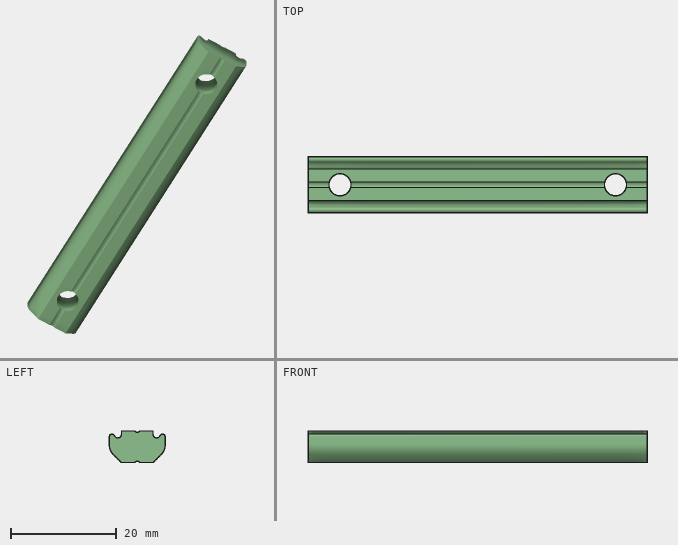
import cadquery as cq
import math

LENGTH = 64.0
WIDTH = 10.6
HEIGHT = 6.0

FLAT_WIDTH = 6.0

LIP_HEIGHT = 5.41
LIP_RADIUS = 0.53
SIDE_GROOVE_RADIUS = 0.67

SLOPE_ANGLE = math.radians(45)
SLOPE_BLEND_RADIUS = 2.5

CENTRE_GROOVE_WIDTH = 1.0
CENTRE_GROOVE_DEPTH = 0.25

HOLE_DIAMETER = 4.134
HOLE_SPACING = 52.0


def point_on_circle(centre, radius, angle):
    """Point on a circle in the YZ section, with the angle measured from +Y."""
    return (centre[0] + radius * math.cos(angle), centre[1] + radius * math.sin(angle))


def half_section():
    """Closed outline of the +Y half of the section, as (Y, Z) points."""
    half_width = WIDTH / 2
    half_flat = FLAT_WIDTH / 2

    corner_z = (half_width - half_flat) * math.tan(SLOPE_ANGLE)
    turn = math.pi / 2 - SLOPE_ANGLE
    blend_reach = SLOPE_BLEND_RADIUS * math.tan(turn / 2)
    blend_centre = (half_width - SLOPE_BLEND_RADIUS, corner_z + blend_reach)
    blend_start = point_on_circle(blend_centre, SLOPE_BLEND_RADIUS, -turn)
    blend_middle = point_on_circle(blend_centre, SLOPE_BLEND_RADIUS, -turn / 2)
    blend_end = (half_width, blend_centre[1])

    lip_centre = (half_width - LIP_RADIUS, LIP_HEIGHT - LIP_RADIUS)
    groove_y = half_flat + SIDE_GROOVE_RADIUS
    centre_distance = LIP_RADIUS + SIDE_GROOVE_RADIUS
    tangent_angle = math.acos((lip_centre[0] - groove_y) / centre_distance)
    groove_centre = (groove_y, lip_centre[1] + centre_distance * math.sin(tangent_angle))

    lip_start = (half_width, lip_centre[1])
    lip_top = point_on_circle(lip_centre, LIP_RADIUS, math.pi / 2)
    lip_end = point_on_circle(lip_centre, LIP_RADIUS, math.pi - tangent_angle)
    groove_bottom = point_on_circle(groove_centre, SIDE_GROOVE_RADIUS, -math.pi / 2)
    groove_end = (half_flat, groove_centre[1])

    return (
        cq.Workplane("YZ", origin=(-LENGTH / 2, 0, 0))
        .moveTo(0, 0)
        .lineTo(half_flat, 0)
        .lineTo(*blend_start)
        .threePointArc(blend_middle, blend_end)
        .lineTo(*lip_start)
        .threePointArc(lip_top, lip_end)
        .threePointArc(groove_bottom, groove_end)
        .lineTo(half_flat, HEIGHT)
        .lineTo(0, HEIGHT)
        .close()
    )


def bar():
    """Full bar: half the section extruded along X and mirrored about the XZ plane."""
    half = half_section().extrude(LENGTH)
    return half.union(half.mirror("XZ"))


def centre_groove_cutter(face_z, outward):
    """Cylinder along X whose edge dips into the face at face_z; outward is +1 or -1."""
    half_width = CENTRE_GROOVE_WIDTH / 2
    radius = (half_width**2 + CENTRE_GROOVE_DEPTH**2) / (2 * CENTRE_GROOVE_DEPTH)
    axis_z = face_z + outward * (radius - CENTRE_GROOVE_DEPTH)
    return cq.Workplane("YZ", origin=(-LENGTH / 2, 0, axis_z)).circle(radius).extrude(LENGTH)


def hole_cutters():
    """Two vertical cylinders, one near each end."""
    ends = [(-HOLE_SPACING / 2, 0), (HOLE_SPACING / 2, 0)]
    return cq.Workplane("XY").pushPoints(ends).circle(HOLE_DIAMETER / 2).extrude(HEIGHT)


result = (
    bar()
    .cut(centre_groove_cutter(HEIGHT, 1))
    .cut(centre_groove_cutter(0, -1))
    .cut(hole_cutters())
)